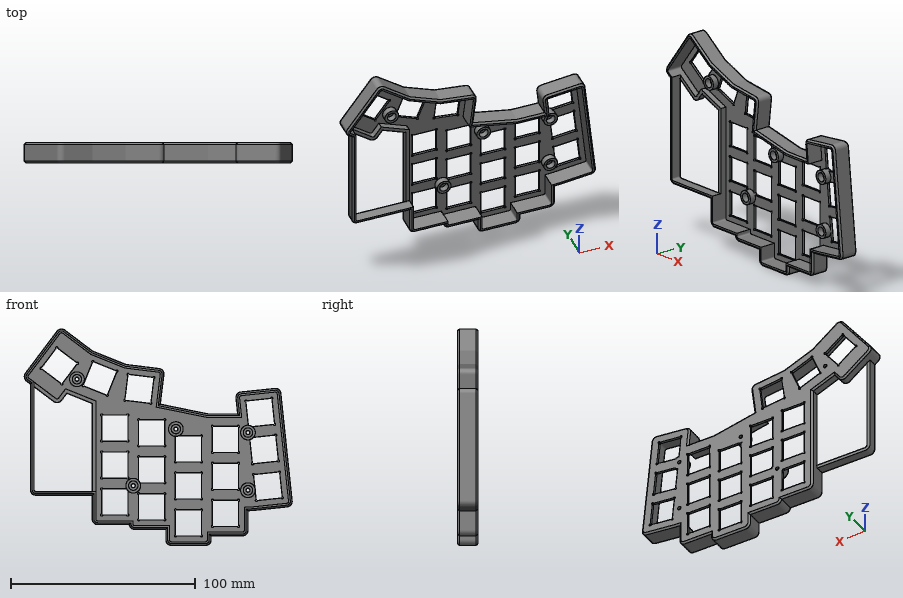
import cadquery as cq
import math

DEPTH = 11.2
WALL = 2.0
INNER_ROUND = 1.0
OUTER_ROUND = INNER_ROUND + WALL
EDGE_CHAMFER = 1.0
PLATE_THICKNESS = 1.5
LOW_WALL_DEPTH = 5.1
BOSS_DEPTH = 5.1

PITCH = 20.0
THUMB_OUTER_CELLS = 1.5
KEY_HOLE = 14.0
RELIEF_DIAMETER = 1.0
KEY_MARGIN = 0.22

BOSS_DIAMETER = 8.0
BOSS_BORE = 5.1
SCREW_HOLE = 2.0

COLUMN_X = [-23.5, -3.5, 16.4, 36.4]
COLUMN_TOP_Z = [5.0, 2.3, -6.4, -1.2]
ROWS = 3

THUMB_OUTER = (-53.5, 38.6, -37)
THUMB_MIDDLE = (-31.5, 31.8, -22)
THUMB_INNER = (-10.2, 26.1, -7)

PINKY_MIDDLE = (57.3, -6.7)
PINKY_TILT = 6

BOSS_CENTRES = [(-44.0, 31.3), (9.5, 4.4), (48.6, 2.5), (48.6, -28.7), (-13.5, -26.2)]

THUMB_MIDDLE_DROP = 12.2
RIDGE_Z = 10.6
RIDGE_X = 26.7
SLOPE_TILT = -11.5
STUB_TILT = 3
WINDOW_X = -67.1
WINDOW_Z = -29.5


def column_key(column, row):
    return (COLUMN_X[column], COLUMN_TOP_Z[column] - row * PITCH, 0)


def pinky_key(row):
    """Key of the tilted last column; row 0 is at the top."""
    along = (1 - row) * PITCH
    tilt = math.radians(PINKY_TILT)
    x, z = PINKY_MIDDLE
    return (x - along * math.sin(tilt), z + along * math.cos(tilt), PINKY_TILT)


def key_point(key, right, up):
    """Point at a distance to the right of and above a key centre, in the key's own directions."""
    x, z, degrees = key
    tilt = math.radians(degrees)
    return (
        x + right * math.cos(tilt) - up * math.sin(tilt),
        z + right * math.sin(tilt) + up * math.cos(tilt),
    )


def row_line(key, up):
    """Line along the key's width, as a point and an angle."""
    return (key_point(key, 0, up), key[2])


def side_line(key, right):
    """Line along the key's height, as a point and an angle."""
    return (key_point(key, right, 0), key[2] + 90)


def crossing(line_a, line_b):
    """Point where two lines meet; each is a point and an angle in degrees."""
    (ax, az), a_degrees = line_a
    (bx, bz), b_degrees = line_b
    a = math.radians(a_degrees)
    b = math.radians(b_degrees)
    along = ((bx - ax) * math.sin(b) - (bz - az) * math.cos(b)) / math.sin(b - a)
    return (ax + along * math.cos(a), az + along * math.sin(a))


HALF = PITCH / 2 + KEY_MARGIN - INNER_ROUND
TALL_HALF = THUMB_OUTER_CELLS * PITCH / 2 + KEY_MARGIN - INNER_ROUND
FIRST_COLUMN_LEFT = COLUMN_X[0] - HALF


def shared_outline():
    """Core corners from the first column's foot, anticlockwise, to the outermost thumb key."""
    feet = [column_key(column, ROWS - 1) for column in range(len(COLUMN_X))]
    first, second, third, fourth = feet
    pinky_top = pinky_key(0)
    pinky_foot = pinky_key(ROWS - 1)
    pinky_foot_left = key_point(pinky_foot, -HALF, -HALF)
    ridge_z = RIDGE_Z - INNER_ROUND
    ridge = ((RIDGE_X, ridge_z), 0)
    slope = ((RIDGE_X, ridge_z), SLOPE_TILT)
    thumb_top = row_line(THUMB_OUTER, TALL_HALF)
    middle_top = row_line(THUMB_MIDDLE, HALF)
    inner_top = row_line(THUMB_INNER, HALF)
    return [
        key_point(first, -HALF, -HALF),
        crossing(row_line(first, -HALF), side_line(second, -HALF)),
        key_point(second, -HALF, -HALF),
        crossing(row_line(second, -HALF), side_line(third, -HALF)),
        key_point(third, -HALF, -HALF),
        key_point(third, HALF, -HALF),
        crossing(side_line(third, HALF), row_line(fourth, -HALF)),
        key_point(fourth, HALF, -HALF),
        crossing(side_line(fourth, HALF), (pinky_foot_left, STUB_TILT)),
        pinky_foot_left,
        key_point(pinky_foot, HALF, -HALF),
        key_point(pinky_top, HALF, HALF),
        key_point(pinky_top, -HALF, HALF),
        crossing(side_line(pinky_top, -HALF), ridge),
        (RIDGE_X, ridge_z),
        crossing(slope, side_line(THUMB_INNER, HALF)),
        key_point(THUMB_INNER, HALF, HALF),
        crossing(inner_top, middle_top),
        crossing(middle_top, thumb_top),
        key_point(THUMB_OUTER, -HALF, TALL_HALF),
        key_point(THUMB_OUTER, -HALF, -TALL_HALF),
    ]


def back_outline():
    """Outline of the key plate, which passes round the window."""
    thumb_right = side_line(THUMB_OUTER, HALF)
    middle_foot = row_line(THUMB_MIDDLE, INNER_ROUND - THUMB_MIDDLE_DROP)
    first_left = ((FIRST_COLUMN_LEFT, 0), 90)
    return shared_outline() + [
        key_point(THUMB_OUTER, HALF, -TALL_HALF),
        crossing(thumb_right, middle_foot),
        crossing(middle_foot, first_left),
    ]


def front_outline():
    """Outline of the front part of the wall, which encloses the window."""
    left = WINDOW_X + INNER_ROUND
    foot = WINDOW_Z + INNER_ROUND
    thumb_foot = row_line(THUMB_OUTER, -TALL_HALF)
    return shared_outline() + [
        crossing(thumb_foot, ((left, 0), 90)),
        (left, foot),
        (FIRST_COLUMN_LEFT, foot),
    ]


def slab(corners, offset, near_back, near_front):
    """Solid between two heights above the back face, with rounded outward corners."""
    plane = cq.Workplane("XZ", origin=(0, DEPTH / 2 - near_back, 0))
    return plane.polyline(corners).close().offset2D(offset, "arc").extrude(near_front - near_back)


def case_shell():
    back = slab(back_outline(), OUTER_ROUND, 0, LOW_WALL_DEPTH).faces(">Y").chamfer(EDGE_CHAMFER)
    front = slab(front_outline(), OUTER_ROUND, LOW_WALL_DEPTH, DEPTH).faces("<Y").chamfer(EDGE_CHAMFER)
    back = back.cut(slab(back_outline(), INNER_ROUND, PLATE_THICKNESS, LOW_WALL_DEPTH))
    front = front.cut(slab(front_outline(), INNER_ROUND, LOW_WALL_DEPTH, DEPTH))
    return back.union(front)


def key_hole(key):
    """Square hole through the plate with a round relief in each corner."""
    x, z, degrees = key
    hole = cq.Workplane("XZ").rect(KEY_HOLE, KEY_HOLE).extrude(DEPTH, both=True)
    reliefs = (
        cq.Workplane("XZ")
        .rect(KEY_HOLE, KEY_HOLE, forConstruction=True)
        .vertices()
        .circle(RELIEF_DIAMETER / 2)
        .extrude(DEPTH, both=True)
    )
    return hole.union(reliefs).rotate((0, 0, 0), (0, -1, 0), degrees).translate((x, 0, z))


def cylinders(diameter, near_back, near_front):
    """One cylinder at each boss centre."""
    plane = cq.Workplane("XZ", origin=(0, DEPTH / 2 - near_back, 0))
    return plane.pushPoints(BOSS_CENTRES).circle(diameter / 2).extrude(near_front - near_back)


keys = [column_key(column, row) for column in range(len(COLUMN_X)) for row in range(ROWS)]
keys += [pinky_key(row) for row in range(ROWS)]
keys += [THUMB_OUTER, THUMB_MIDDLE, THUMB_INNER]

result = case_shell()
for key in keys:
    result = result.cut(key_hole(key))

result = (
    result.union(cylinders(BOSS_DIAMETER, 0, BOSS_DEPTH))
    .cut(cylinders(BOSS_BORE, PLATE_THICKNESS, BOSS_DEPTH))
    .cut(cylinders(SCREW_HOLE, 0, PLATE_THICKNESS))
)